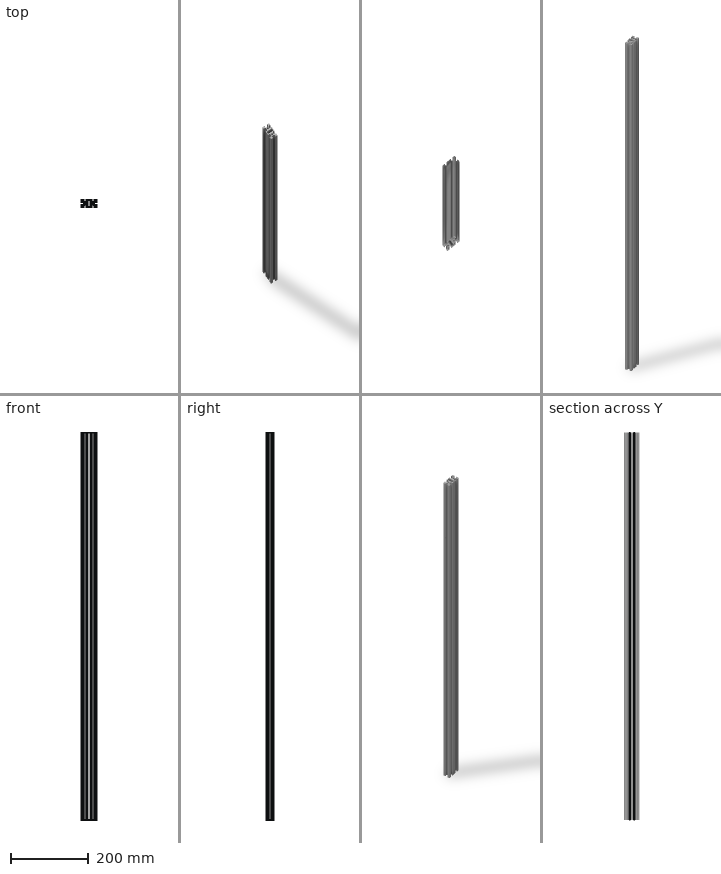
import cadquery as cq

CELL = 20.0
CELL_COUNT = 2
LENGTH = 1000.0
WIDTH = CELL * CELL_COUNT
CORNER_RADIUS = 1.0

SLOT_MOUTH = 6.0
SLOT_INNER_WIDTH = 11.0
SLOT_FLOOR_WIDTH = 5.2
SLOT_DEPTH = 6.0
SLOT_FLOOR_RADIUS = 0.5
LIP_THICKNESS = 2.0
LIP_RADIUS = 0.5

BORE_DIAMETER = 5.0

CHAMBER_WALL = 1.5
CHAMBER_WIDTH = 7.0
CHAMBER_HEIGHT = CELL - 2 * CHAMBER_WALL
CHAMBER_RADIUS = 2.0

CELL_CENTRES = [(i - (CELL_COUNT - 1) / 2) * CELL for i in range(CELL_COUNT)]


def start_plane():
    """Workplane on the lower end of the bar."""
    return cq.Workplane("XY", origin=(0, 0, -LENGTH / 2))


def make_rounded_bar(width, height, radius):
    """Full-length rectangular bar with rounded long edges, centred on the origin."""
    return cq.Workplane("XY").box(width, height, LENGTH).edges("|Z").fillet(radius)


def make_slot():
    """T-slot cutter whose mouth lies on y = 0 and whose floor lies at y = SLOT_DEPTH."""
    mouth = SLOT_MOUTH / 2
    inner = SLOT_INNER_WIDTH / 2
    floor = SLOT_FLOOR_WIDTH / 2
    flank_start = SLOT_DEPTH - (inner - floor)
    cutter = (
        start_plane()
        .moveTo(-mouth - LIP_RADIUS, 0)
        .radiusArc((-mouth, LIP_RADIUS), -LIP_RADIUS)
        .lineTo(-mouth, LIP_THICKNESS)
        .lineTo(-inner, LIP_THICKNESS)
        .lineTo(-inner, flank_start)
        .lineTo(-floor, SLOT_DEPTH)
        .lineTo(floor, SLOT_DEPTH)
        .lineTo(inner, flank_start)
        .lineTo(inner, LIP_THICKNESS)
        .lineTo(mouth, LIP_THICKNESS)
        .lineTo(mouth, LIP_RADIUS)
        .radiusArc((mouth + LIP_RADIUS, 0), -LIP_RADIUS)
        .close()
        .extrude(LENGTH)
    )
    return cutter.edges("|Z and >Y").fillet(SLOT_FLOOR_RADIUS)


def cut_slots(body):
    """Cut a slot into both long faces of every cell and into the two narrow side faces."""
    slot = make_slot().translate((0, -CELL / 2, 0))
    placements = [(x, angle) for x in CELL_CENTRES for angle in (0, 180)]
    placements += [(CELL_CENTRES[0], -90), (CELL_CENTRES[-1], 90)]
    for x, angle in placements:
        turned_slot = slot.rotate((0, 0, 0), (0, 0, 1), angle)
        body = body.cut(turned_slot.translate((x, 0, 0)))
    return body


def cut_bores(body):
    """Cut the through bore of every cell."""
    centres = [(x, 0) for x in CELL_CENTRES]
    bores = start_plane().pushPoints(centres).circle(BORE_DIAMETER / 2).extrude(LENGTH)
    return body.cut(bores)


def cut_chamber(body):
    """Cut the rounded through chamber at the centre of the section."""
    return body.cut(make_rounded_bar(CHAMBER_WIDTH, CHAMBER_HEIGHT, CHAMBER_RADIUS))


bar = make_rounded_bar(WIDTH, CELL, CORNER_RADIUS)
bar = cut_slots(bar)
bar = cut_bores(bar)
bar = cut_chamber(bar)
result = cq.Workplane("XY").newObject([bar.solids().val()])